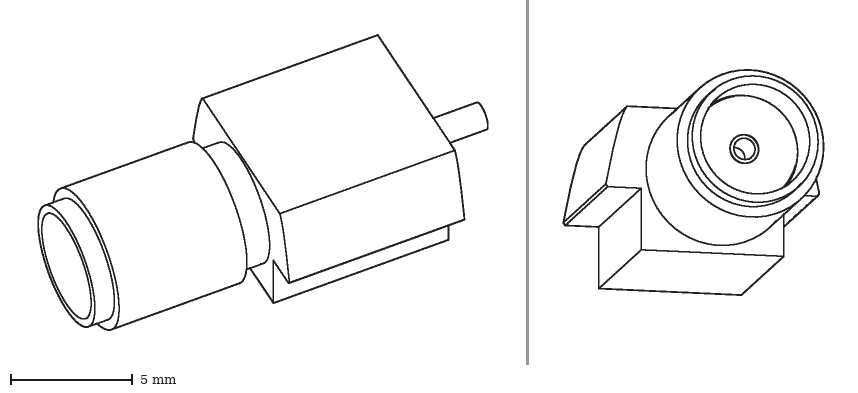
import cadquery as cq

block_side = 6.0
block_top = 2.85
body_length = 8.02
wing_bottom = -0.57
wing_half_width = 4.494
wing_edge_height = 0.11
wing_edge_inset = 0.08
wing_flank_points = [(4.15, 1.25), (3.85, 2.3)]
wing_flank_directions = [(-0.2, 1.0), (-0.8, 1.0)]
wing_top_half_width = 3.6

neck_diameter = 5.3
neck_length = 1.25
sleeve_diameter = 6.18
sleeve_length = 5.85
nose_length = 0.9
barrel_length = neck_length + sleeve_length + nose_length

bore_diameter = 4.6
bore_depth = 2.07
insulator_diameter = 4.5
insulator_gap_depth = 0.19
contact_diameter = 1.2
contact_proud = 0.05
socket_diameter = 0.9
socket_depth = 1.9

overall_length = 19.0
pin_length = overall_length - body_length - barrel_length

body_front = 0.0
body_back = body_front + body_length
nose_front = body_front - barrel_length
bore_floor = nose_front + bore_depth


def cylinder(diameter, start, length):
    """Cylinder on the connector axis, from Y = start toward +Y."""
    base = cq.Plane(origin=(0, start, 0), xDir=(1, 0, 0), normal=(0, 1, 0))
    return cq.Workplane(base).circle(diameter / 2).extrude(length)


def make_body():
    block = cq.Workplane("XY").box(block_side, body_length, block_side, centered=(True, False, False))
    block = block.translate((0, body_front, block_top - block_side))
    inset_x = wing_half_width - wing_edge_inset
    edge_z = wing_bottom + wing_edge_height
    right_wing = (
        cq.Workplane("XZ", origin=(0, body_front, 0))
        .moveTo(0, wing_bottom)
        .lineTo(inset_x, wing_bottom)
        .lineTo(wing_half_width, edge_z)
        .spline(
            wing_flank_points + [(wing_top_half_width, block_top)],
            tangents=wing_flank_directions,
            includeCurrent=True,
        )
        .lineTo(0, block_top)
        .close()
        .extrude(-body_length)
    )
    wings = right_wing.union(right_wing.mirror("YZ"))
    return block.union(wings)


def make_barrel():
    core = cylinder(neck_diameter, nose_front, barrel_length)
    sleeve = cylinder(sleeve_diameter, nose_front + nose_length, sleeve_length)
    return core.union(sleeve)


def cut_socket(part):
    part = part.cut(cylinder(bore_diameter, nose_front, bore_depth))
    gap = cylinder(bore_diameter, bore_floor, insulator_gap_depth)
    gap = gap.cut(cylinder(insulator_diameter, bore_floor, insulator_gap_depth))
    contact_front = bore_floor - contact_proud
    part = part.cut(gap).union(cylinder(contact_diameter, contact_front, contact_proud))
    return part.cut(cylinder(socket_diameter, contact_front, socket_depth))


rear_pin = cylinder(contact_diameter, body_back, pin_length)
result = cut_socket(make_body().union(make_barrel()).union(rear_pin))